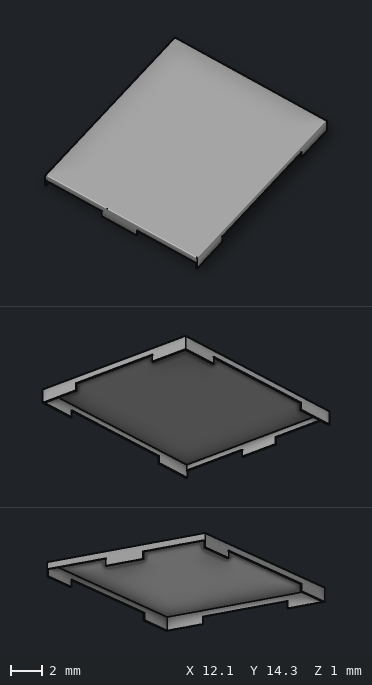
import cadquery as cq

LENGTH_X = 12.05
LENGTH_Y = 14.32
HEIGHT = 1.0

SHEET = 0.1
EDGE_RADIUS = SHEET
TAB_DROP = 0.5
TAB_WIDTH = 2.8
FRONT_TAB_X = -0.14

CUT_DEPTH = 3 * SHEET


def make_shell():
    """Roof with four full-height walls, open underneath."""
    block = cq.Workplane("XY").box(LENGTH_X, LENGTH_Y, HEIGHT, centered=(True, True, False))
    block = block.faces(">Z").edges().fillet(EDGE_RADIUS)
    cavity = cq.Workplane("XY").box(
        LENGTH_X - 2 * SHEET,
        LENGTH_Y - 2 * SHEET,
        HEIGHT - SHEET,
        centered=(True, True, False),
    )
    return block.cut(cavity)


def notch(x_min, x_max, y_min, y_max):
    """Cutter that shortens a stretch of wall by the tab drop."""
    return (
        cq.Workplane("XY")
        .box(x_max - x_min, y_max - y_min, TAB_DROP, centered=False)
        .translate((x_min, y_min, 0))
    )


def side_notch(side):
    """Gap between the two corner tabs of a side wall; side is -1 or +1 along X."""
    wall_x = side * LENGTH_X / 2
    half_gap = LENGTH_Y / 2 - TAB_WIDTH
    return notch(wall_x - CUT_DEPTH / 2, wall_x + CUT_DEPTH / 2, -half_gap, half_gap)


def back_notch():
    """Gap between the two corner tabs of the back wall."""
    wall_y = LENGTH_Y / 2
    half_gap = LENGTH_X / 2 - TAB_WIDTH
    return notch(-half_gap, half_gap, wall_y - CUT_DEPTH / 2, wall_y + CUT_DEPTH / 2)


def front_notches():
    """Gaps on both sides of the front tab, ending at the inner faces of the side walls."""
    y_min = -LENGTH_Y / 2 - CUT_DEPTH / 2
    y_max = -LENGTH_Y / 2 + SHEET
    inner_x = LENGTH_X / 2 - SHEET
    left = notch(-inner_x, FRONT_TAB_X - TAB_WIDTH / 2, y_min, y_max)
    right = notch(FRONT_TAB_X + TAB_WIDTH / 2, inner_x, y_min, y_max)
    return [left, right]


result = make_shell()
for cutter in [side_notch(-1), side_notch(1), back_notch(), *front_notches()]:
    result = result.cut(cutter)